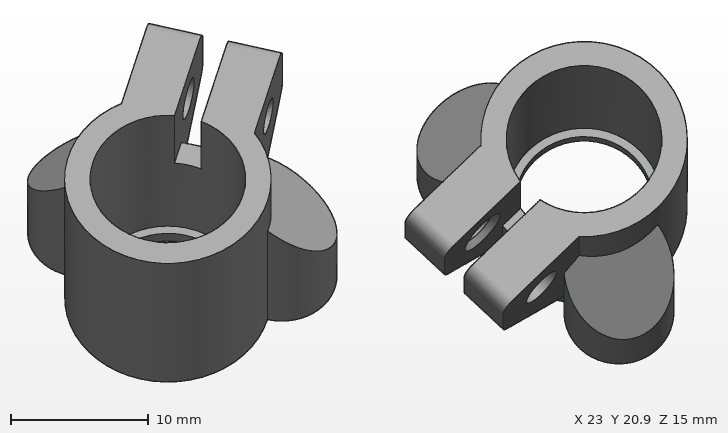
import cadquery as cq
import math

sleeve_radius = 7.5
height = 15.0
bore_radius = 11.3 / 2
lip_bore_radius = 10.0 / 2
lip_height = 1.0

post_radius = 4.0
post_center_x = sleeve_radius
post_center_y = post_radius
post_axis_height = 9.34
post_slope_angle = 45

ears_width = 10.0
ear_end_y = 13.43
ear_tip_height = 10.2
ear_slope_angle = 40
ear_fillet_radius = 2.0 / 2
slot_width = 2.0
slot_depth = 6.0

screw_y = 9.48
screw_z = 11.75
clearance_diameter = 3.1
thread_diameter = 2.7
lead_in_diameter = 3.68
lead_in_angle = 45
lead_in_growth = (lead_in_diameter - thread_diameter) / 2
lead_in_depth = lead_in_growth / math.tan(math.radians(lead_in_angle))


def post():
    """Post on the +X side with its slanted top."""
    radial_distance = math.hypot(post_center_x, post_center_y)
    direction = math.degrees(math.atan2(post_center_y, post_center_x))
    drop = post_radius * math.tan(math.radians(post_slope_angle))
    inner_end = radial_distance - post_radius
    outer_end = radial_distance + post_radius
    profile = (
        cq.Workplane("XZ")
        .polyline([
            (inner_end, 0),
            (outer_end, 0),
            (outer_end, post_axis_height - drop),
            (inner_end, post_axis_height + drop),
        ])
        .close()
        .extrude(post_radius, both=True)
        .rotate((0, 0, 0), (0, 0, 1), direction)
    )
    column = (
        cq.Workplane("XY")
        .center(post_center_x, post_center_y)
        .circle(post_radius)
        .extrude(height)
    )
    return column.intersect(profile)


def ears():
    """Both ears, separated by the slot over their whole height."""
    root_y = math.sqrt(bore_radius**2 - (slot_width / 2) ** 2)
    drop = (ear_end_y - root_y) * math.tan(math.radians(ear_slope_angle))
    block = (
        cq.Workplane("YZ")
        .polyline([
            (0, height),
            (ear_end_y, height),
            (ear_end_y, ear_tip_height),
            (root_y, ear_tip_height - drop),
            (0, ear_tip_height - drop),
        ])
        .close()
        .extrude(ears_width / 2, both=True)
        .edges("|X and >Y")
        .fillet(ear_fillet_radius)
    )
    gap = cq.Workplane("XY").box(slot_width, 2 * ear_end_y, height, centered=(True, True, False))
    return block.cut(gap)


def screw_hole():
    hole = cq.Workplane("YZ").center(screw_y, screw_z)
    clearance = hole.circle(clearance_diameter / 2).extrude(-ears_width / 2)
    thread = hole.circle(thread_diameter / 2).extrude(ears_width / 2)
    lead_in = (
        cq.Workplane("YZ", origin=(slot_width / 2, 0, 0))
        .center(screw_y, screw_z)
        .circle(lead_in_diameter / 2)
        .extrude(lead_in_depth, taper=lead_in_angle)
    )
    return clearance.union(thread).union(lead_in)


def slot():
    return (
        cq.Workplane("XY", origin=(0, 0, height - slot_depth))
        .box(slot_width, ear_end_y, slot_depth, centered=(True, False, False))
    )


def stepped_bore():
    lip_bore = cq.Workplane("XY").circle(lip_bore_radius).extrude(height)
    main_bore = cq.Workplane("XY", origin=(0, 0, lip_height)).circle(bore_radius).extrude(height)
    return lip_bore.union(main_bore)


right_post = post()
left_post = right_post.mirror("YZ")
sleeve = cq.Workplane("XY").circle(sleeve_radius).extrude(height)

result = (
    sleeve.union(right_post)
    .union(left_post)
    .union(ears())
    .cut(stepped_bore())
    .cut(slot())
    .cut(screw_hole())
)